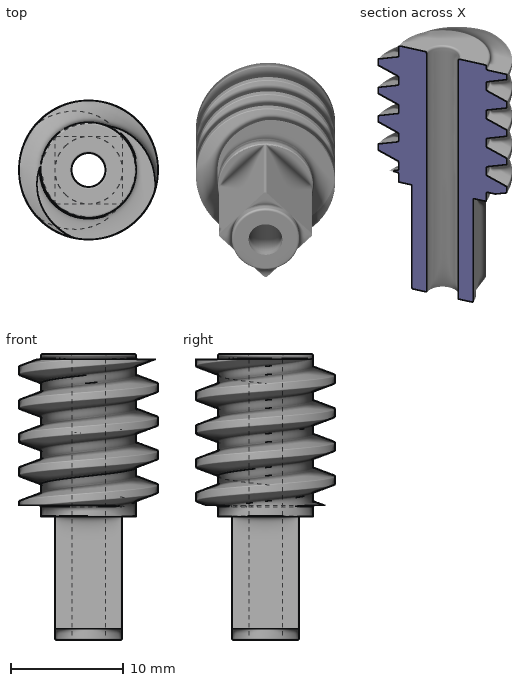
import cadquery as cq
import math

spigot_height = 1.0
shank_top = 11.0
thread_bottom = 12.0
thread_top = 25.0
total_height = 25.5

shank_width = 6.0
shank_edge_radius = 0.2
spigot_diameter = shank_width
spigot_edge_radius = 0.2

core_diameter = 8.5
core_radius = core_diameter / 2
rim_radius = 0.2
collar_edge_radius = 0.1

outer_diameter = 12.4
pitch = 3.0
crest_width = 0.7
flank_angle = 20.0
thread_edge_radius = 0.1
mid_height_at_plus_x = thread_bottom + pitch / 2
root_sink = 0.25
run_out_turns = 2
outer_radius = outer_diameter / 2

bore_diameter = 3.0
bore_mouth_radius = 0.2


def cylinder(diameter, bottom, top):
    return cq.Workplane("XY").workplane(offset=bottom).circle(diameter / 2).extrude(top - bottom)


def make_shank():
    square = (
        cq.Workplane("XY")
        .workplane(offset=spigot_height)
        .rect(shank_width, shank_width)
        .extrude(shank_top - spigot_height)
        .edges("|Z")
        .fillet(shank_edge_radius)
    )
    spigot = cylinder(spigot_diameter, 0, spigot_height).faces("<Z").edges().fillet(spigot_edge_radius)
    return square.union(spigot)


def make_core():
    """Round body of the worm, from the shank to the top rim."""
    core = cylinder(core_diameter, shank_top, total_height)
    core = core.faces("<Z").edges().fillet(collar_edge_radius)
    return core.faces(">Z").edges().fillet(rim_radius)


def make_tooth():
    """Sweep the trapezoidal tooth along a helix and cut both ends flat."""
    buried_radius = core_radius - root_sink
    crest_half = crest_width / 2
    root_half = crest_half + (outer_radius - buried_radius) * math.tan(math.radians(flank_angle))

    turns = math.ceil((thread_top - thread_bottom) / pitch) + run_out_turns
    start_height = mid_height_at_plus_x - run_out_turns * pitch
    helix = cq.Wire.makeHelix(pitch, turns * pitch, buried_radius).translate(cq.Vector(0, 0, start_height))

    tooth = (
        cq.Workplane("XZ")
        .moveTo(buried_radius, start_height - root_half)
        .lineTo(outer_radius, start_height - crest_half)
        .lineTo(outer_radius, start_height + crest_half)
        .lineTo(buried_radius, start_height + root_half)
        .close()
        .sweep(cq.Workplane(helix), isFrenet=True)
    )
    return tooth.intersect(cylinder(2 * outer_diameter, thread_bottom, thread_top))


def thread_edges(body, radius):
    """Edges of the thread at the given radius: helical ones, and flat arcs where its ends meet the core."""
    tolerance = 0.01
    sample_places = (0.05, 0.35, 0.6, 0.95)

    def is_thread_edge(edge):
        on_radius = all(
            abs(math.hypot(point.x, point.y) - radius) < tolerance for point in edge.positions(sample_places)
        )
        box = edge.BoundingBox()
        helical = edge.geomType() == "BSPLINE" and box.zlen > tolerance
        within_thread = box.zmin > thread_bottom - tolerance and box.zmax < thread_top + tolerance
        end_arc = edge.geomType() == "CIRCLE" and within_thread
        return on_radius and (helical or end_arc)

    return [edge for edge in body.edges().vals() if is_thread_edge(edge)]


def make_worm():
    """Core and thread, with the thread's root and crest edges rounded."""
    body = make_core().union(make_tooth())
    edges = thread_edges(body, core_radius) + thread_edges(body, outer_radius)
    return body.newObject([body.val().fillet(thread_edge_radius, edges)])


def cut_bore(body):
    """Bore through the whole length, with its upper mouth rounded."""
    bored = body.cut(cylinder(bore_diameter, 0, total_height))
    mouth_edge = bored.faces(">Z").edges(cq.selectors.RadiusNthSelector(0))
    return mouth_edge.fillet(bore_mouth_radius)


result = cut_bore(make_worm().union(make_shank()))